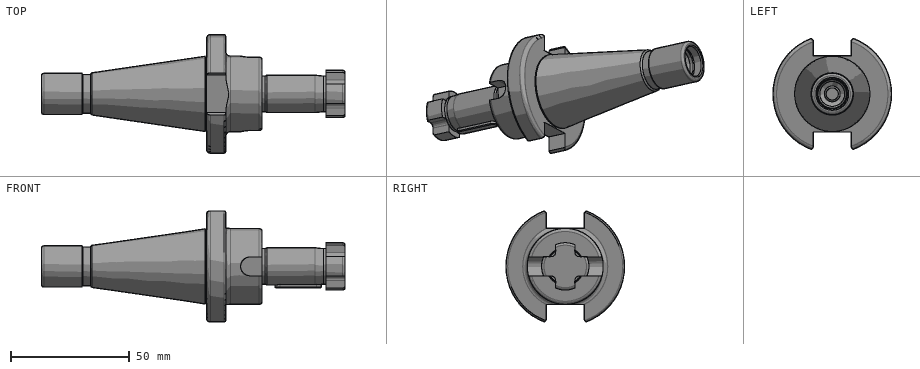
import cadquery as cq

tail_radius = 8.7
tail_fillet = 1.0
tail_end = 17.6
tail_step = 0.5
neck_radius = tail_radius - tail_step
neck_end = 20.7
taper_start = 21.3
taper_end = 69.1
taper_end_radius = 15.9
taper_slope = 7 / 48
taper_start_radius = taper_end_radius - taper_slope * (taper_end - taper_start)

flange_start = 69.8
flange_end = 78.0
flange_diameter = 50.2
flange_radius = flange_diameter / 2
flange_rear_fillet = 1.5
flange_front_fillet = 0.8
relief_depth = 0.4
relief_radius = taper_end_radius - relief_depth
flange_slot_width = 15.9
flange_slot_floor = 16.2
flange_slot_chamfer = 1.3

collar_radius = 16.0
collar_end = 93.3
collar_root_fillet = 1.9
collar_end_fillet = 1.3
cutter_slot_width = 8.0
cutter_slot_length = 9.1
cutter_slot_floor = 8.0

arbor_radius = 8.0
undercut_radius = 7.6
undercut_end = 94.6
undercut_run_out = 95.4
lead_in_start = 115.5
arbor_end = 119.2
arbor_end_radius = 7.6

mouth_chamfer = 0.5
counterbore_radius = 6.4
counterbore_depth = 3.9
pilot_step = 0.4
pilot_radius = counterbore_radius - pilot_step
pilot_depth = 5.8
bore_cone_radius = 5.3
bore_cone_depth = 7.3
drill_cone_length = 1.2
screw_hole_radius = 3.3

key_width = 4.1
key_start = 98.7
key_end = 118.4
key_bottom = -9.1
key_height = 4.1
key_chamfer = 0.4

head_start = 120.3
head_end = 128.4
head_radius = 10.0
head_end_fillet = 1.0
lobe_width = 8.2
lobe_root_fillet = 1.8
shank_start = 93.7
shank_end_chamfer = 0.8


def revolve_about_x(sketch):
    return sketch.close().revolve(360, (0, 0, 0), (1, 0, 0))


def make_turned_blank():
    outline = (
        cq.Workplane("XY")
        .moveTo(0, 0)
        .lineTo(0, tail_radius - tail_fillet)
        .radiusArc((tail_fillet, tail_radius), tail_fillet)
        .lineTo(tail_end - tail_step, tail_radius)
        .lineTo(tail_end, neck_radius)
        .lineTo(neck_end, neck_radius)
        .lineTo(taper_start, taper_start_radius)
        .lineTo(taper_end, taper_end_radius)
        .lineTo(taper_end + relief_depth, relief_radius)
        .lineTo(flange_start, relief_radius)
        .lineTo(flange_start, flange_radius - flange_rear_fillet)
        .radiusArc((flange_start + flange_rear_fillet, flange_radius), flange_rear_fillet)
        .lineTo(flange_end - flange_front_fillet, flange_radius)
        .radiusArc((flange_end, flange_radius - flange_front_fillet), flange_front_fillet)
        .lineTo(flange_end, collar_radius + collar_root_fillet)
        .radiusArc((flange_end + collar_root_fillet, collar_radius), -collar_root_fillet)
        .lineTo(collar_end - collar_end_fillet, collar_radius)
        .radiusArc((collar_end, collar_radius - collar_end_fillet), collar_end_fillet)
        .lineTo(collar_end, undercut_radius)
        .lineTo(undercut_end, undercut_radius)
        .lineTo(undercut_run_out, arbor_radius)
        .lineTo(lead_in_start, arbor_radius)
        .lineTo(arbor_end, arbor_end_radius)
        .lineTo(arbor_end, 0)
    )
    return revolve_about_x(outline)


def make_bore():
    outline = (
        cq.Workplane("XY")
        .moveTo(0, 0)
        .lineTo(0, counterbore_radius + mouth_chamfer)
        .lineTo(mouth_chamfer, counterbore_radius)
        .lineTo(counterbore_depth, counterbore_radius)
        .lineTo(counterbore_depth + pilot_step, pilot_radius)
        .lineTo(pilot_depth, pilot_radius)
        .lineTo(bore_cone_depth, bore_cone_radius)
        .lineTo(bore_cone_depth + drill_cone_length, screw_hole_radius)
        .lineTo(arbor_end, screw_hole_radius)
        .lineTo(arbor_end, 0)
    )
    return revolve_about_x(outline)


def make_flange_slot(side):
    """Driving slot through the flange; side is +1 for the top and -1 for the bottom."""
    half_width = flange_slot_width / 2
    mouth_height = (flange_radius**2 - half_width**2) ** 0.5
    mouth_start = mouth_height - flange_slot_chamfer
    outer_height = flange_radius
    mouth_half_width = half_width + outer_height - mouth_start
    return (
        cq.Workplane("YZ", origin=(flange_start, 0, 0))
        .moveTo(-half_width, side * flange_slot_floor)
        .lineTo(half_width, side * flange_slot_floor)
        .lineTo(half_width, side * mouth_start)
        .lineTo(mouth_half_width, side * outer_height)
        .lineTo(-mouth_half_width, side * outer_height)
        .lineTo(-half_width, side * mouth_start)
        .close()
        .extrude(flange_end + collar_root_fillet - flange_start)
    )


def make_cutter_slot(side):
    """Round-ended slot in the collar; side is +1 for +Y and -1 for -Y."""
    half_width = cutter_slot_width / 2
    slot_start = collar_end - cutter_slot_length
    return (
        cq.Workplane("XZ", origin=(0, side * cutter_slot_floor, 0))
        .moveTo(collar_end, -half_width)
        .lineTo(slot_start + half_width, -half_width)
        .threePointArc((slot_start, 0), (slot_start + half_width, half_width))
        .lineTo(collar_end, half_width)
        .close()
        .extrude(-side * (collar_radius - cutter_slot_floor))
    )


def make_key_block():
    """Round-ended key below the axis, before its lower edge is chamfered."""
    return (
        cq.Workplane("XY", origin=((key_start + key_end) / 2, 0, key_bottom))
        .slot2D(key_end - key_start, key_width)
        .extrude(key_height)
    )


def make_holder():
    holder = make_turned_blank().cut(make_bore()).cut(make_key_block())
    for side in (1, -1):
        holder = holder.cut(make_flange_slot(side)).cut(make_cutter_slot(side))
    return holder


def make_key():
    return make_key_block().faces("<Z").edges().chamfer(key_chamfer)


def make_screw_head():
    """Round head cut to four lobes, along +Y, -Y, +Z and -Z."""
    head_length = head_end - head_start
    head = (
        cq.Workplane("YZ", origin=(head_start, 0, 0))
        .circle(head_radius)
        .extrude(head_length)
        .faces(">X")
        .edges()
        .fillet(head_end_fillet)
    )
    bar_length = 2 * head_radius
    cross = (
        cq.Workplane("YZ", origin=(head_start, 0, 0))
        .rect(bar_length, lobe_width)
        .extrude(head_length)
        .union(
            cq.Workplane("YZ", origin=(head_start, 0, 0)).rect(lobe_width, bar_length).extrude(head_length)
        )
    )
    inner_corners = cq.selectors.BoxSelector(
        (head_start, -lobe_width, -lobe_width), (head_end, lobe_width, lobe_width)
    )
    cross = cross.edges("|X").edges(inner_corners).fillet(lobe_root_fillet)
    return head.intersect(cross)


def make_screw():
    shank = (
        cq.Workplane("YZ", origin=(shank_start, 0, 0))
        .circle(screw_hole_radius)
        .extrude(arbor_end - shank_start)
        .faces("<X")
        .chamfer(shank_end_chamfer)
    )
    neck = (
        cq.Workplane("YZ", origin=(arbor_end, 0, 0))
        .circle(arbor_end_radius)
        .extrude(head_start - arbor_end)
    )
    return shank.union(neck).union(make_screw_head())


holder = make_holder()
key = make_key()
screw = make_screw()

result = cq.Compound.makeCompound([holder.val(), key.val(), screw.val()])